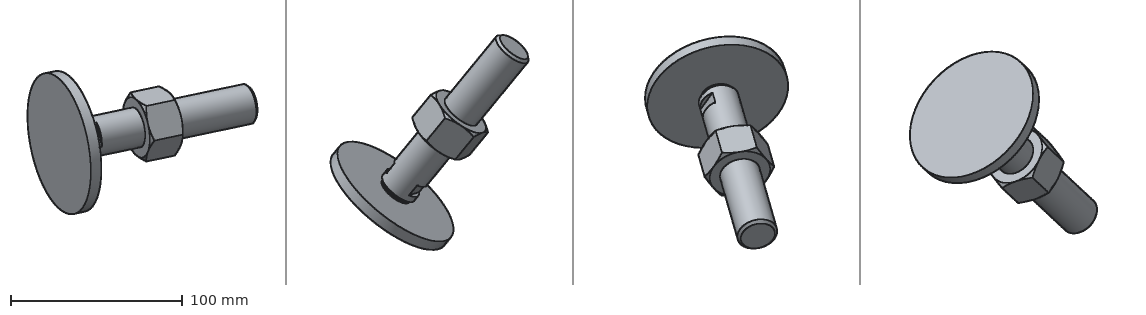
import cadquery as cq
import math

overall_length = 124.0

plate_diameter = 84.0
plate_thickness = 7.0
seat_height = 1.1
seat_base_radius = 10.2
seat_top_radius = 9.2

stud_diameter = 23.8
stud_radius = stud_diameter / 2
stud_chamfer = 1.7
stud_start = plate_thickness + seat_height
stud_length = overall_length - stud_start

flat_start = 14.0
flat_width = 8.0
flats_across = 18.8
flat_angle = 30.0

nut_start = 50.1
nut_height = 21.6
nut_across_flats = 36.0
nut_sides = 6
nut_chamfer_angle = 30.0


def plane_at(y):
    """Plane facing +Y at height y, with local x along X and local y along -Z."""
    return cq.Workplane(cq.Plane(origin=(0, y, 0), xDir=(1, 0, 0), normal=(0, 1, 0)))


def make_foot_plate():
    plate_radius = plate_diameter / 2
    return (
        cq.Workplane("XY")
        .moveTo(0, 0)
        .lineTo(plate_radius, 0)
        .lineTo(plate_radius, plate_thickness)
        .lineTo(seat_base_radius, plate_thickness)
        .lineTo(seat_top_radius, stud_start)
        .lineTo(0, stud_start)
        .close()
        .revolve(360, (0, 0, 0), (0, 1, 0))
    )


def make_flat_cutter():
    """Ring of material outside the two opposite wrench flats."""
    ring = plane_at(flat_start).circle(stud_diameter).extrude(flat_width)
    kept_bar = plane_at(flat_start).rect(flats_across, 3 * stud_diameter).extrude(flat_width)
    return ring.cut(kept_bar).rotate((0, 0, 0), (0, 1, 0), -flat_angle)


def make_stud():
    blank = plane_at(stud_start).circle(stud_radius).extrude(stud_length)
    return blank.faces("<Y or >Y").chamfer(stud_chamfer).cut(make_flat_cutter())


def make_nut():
    face_radius = nut_across_flats / 2
    across_corners = nut_across_flats / math.cos(math.pi / nut_sides)
    corner_radius = across_corners / 2
    corner_drop = (corner_radius - face_radius) * math.tan(math.radians(nut_chamfer_angle))
    nut_end = nut_start + nut_height
    hexagon = plane_at(nut_start).polygon(nut_sides, across_corners).extrude(nut_height)
    envelope = (
        cq.Workplane("XY")
        .moveTo(0, nut_start)
        .lineTo(face_radius, nut_start)
        .lineTo(corner_radius, nut_start + corner_drop)
        .lineTo(corner_radius, nut_end - corner_drop)
        .lineTo(face_radius, nut_end)
        .lineTo(0, nut_end)
        .close()
        .revolve(360, (0, 0, 0), (0, 1, 0))
    )
    bore = plane_at(nut_start).circle(stud_radius).extrude(nut_height)
    return hexagon.intersect(envelope).cut(bore)


foot_plate = make_foot_plate()
stud = make_stud()
nut = make_nut()

result = cq.Compound.makeCompound([foot_plate.val(), stud.solids().val(), nut.solids().val()])